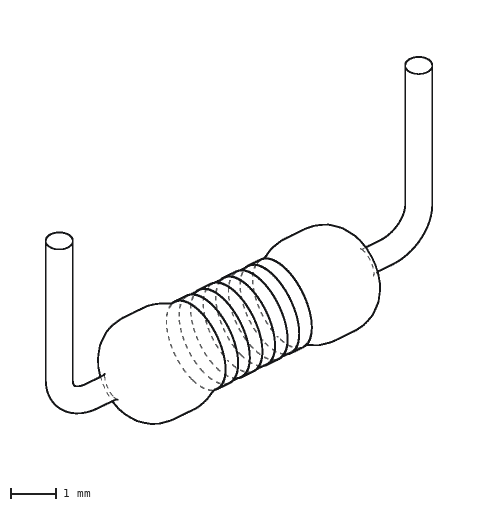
import cadquery as cq
import math

lead_diameter = 0.6
lead_pitch = 10.0
lead_top = 4.85
bend_radius = 0.9

body_length = 6.8
bulb_diameter = 2.5
waist_diameter = 2.12
waist_half_length = 1.2
bulb_start = 1.93
bulb_end = 2.54
neck_end = 3.63

band_diameter = 2.15
band_width = 0.35
band_centers = (-1.025, -0.35, 0.35, 1.025)

lead_radius = lead_diameter / 2
bulb_radius = bulb_diameter / 2
waist_radius = waist_diameter / 2
waist_core_half_length = band_centers[-1]


def arc_point(center, radius, angle):
    """Point (radial, axial) on a circle; the angle is measured from the axial direction."""
    return (center[0] + radius * math.sin(angle), center[1] + radius * math.cos(angle))


def bulb():
    """Revolved bulb on the +Y side, with its shoulder and its neck fillet onto the lead."""
    cap_radius = body_length / 2 - bulb_end
    cap_center = (bulb_radius - cap_radius, bulb_end)

    axial_gap = neck_end - bulb_end
    radial_gap = cap_center[0] - lead_radius
    neck_radius = (axial_gap**2 + radial_gap**2 - cap_radius**2) / (2 * (cap_radius + radial_gap))
    neck_center = (lead_radius + neck_radius, neck_end)
    tangent_angle = math.atan2(neck_center[0] - cap_center[0], axial_gap)
    cap_tip = arc_point(cap_center, cap_radius, tangent_angle)
    cap_middle = arc_point(cap_center, cap_radius, (tangent_angle + math.pi / 2) / 2)
    neck_middle = arc_point(neck_center, neck_radius, tangent_angle / 2 + 5 * math.pi / 4)

    shoulder_middle = ((waist_radius + bulb_radius) / 2, (waist_half_length + bulb_start) / 2)

    return (
        cq.Workplane("XY")
        .moveTo(0, waist_core_half_length)
        .lineTo(waist_radius, waist_core_half_length)
        .lineTo(waist_radius, waist_half_length)
        .tangentArcPoint(shoulder_middle, relative=False)
        .tangentArcPoint((bulb_radius, bulb_start), relative=False)
        .lineTo(bulb_radius, bulb_end)
        .threePointArc(cap_middle, cap_tip)
        .threePointArc(neck_middle, (lead_radius, neck_end))
        .lineTo(0, neck_end)
        .close()
        .revolve(360, (0, 0, 0), (0, 1, 0))
    )


def cylinder_along_y(diameter, center, length):
    """Solid cylinder along Y, centred at the given distance from the middle."""
    return (
        cq.Workplane("XZ", origin=(0, center + length / 2, 0))
        .circle(diameter / 2)
        .extrude(length)
    )


def lead():
    """Lead on the +Y side, from the neck through the bend to its upper end."""
    lead_y = lead_pitch / 2
    path = (
        cq.Workplane("YZ")
        .moveTo(neck_end, 0)
        .lineTo(lead_y - bend_radius, 0)
        .tangentArcPoint((lead_y, bend_radius), relative=False)
        .lineTo(lead_y, lead_top)
    )
    return cq.Workplane("XZ", origin=(0, neck_end, 0)).circle(lead_radius).sweep(path)


bulb_and_lead = bulb().union(lead())
result = cylinder_along_y(waist_diameter, 0, 2 * waist_core_half_length)
for band_center in band_centers:
    result = result.union(cylinder_along_y(band_diameter, band_center, band_width))
result = result.union(bulb_and_lead).union(bulb_and_lead.mirror("XZ"))